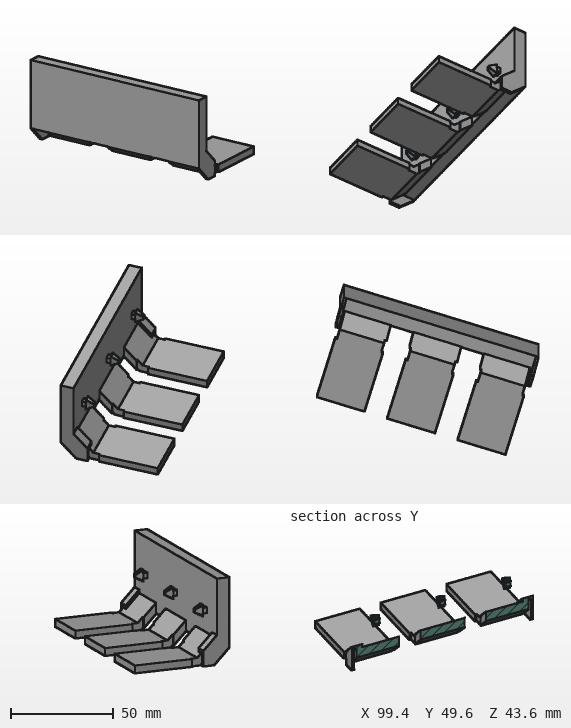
import cadquery as cq
import math

length = 99.4
height = 43.6
depth = 49.65
wall_thickness = 6.65
wall_bottom = 8.1

tongue_pitch = 35.95
tongue_width = 24.4
tongue_thickness = 4.0
bend_inner_y = 16.05
notch_depth = 0.9
notch_start_y = 13.2
notch_end_y = 19.2

bracket_width = 5.7
bracket_depth = 13.85
bracket_back_height = 7.9
side_plate_thickness = 1.35

peg_z = 24.65
neck_width = 3.1
neck_height = 2.8
neck_length = 2.0
head_width = 3.2
head_height = 5.8
head_length = 3.95
tip_width = 1.7
tip_height = 1.6

tongue_top_sum = bend_inner_y + tongue_thickness
tongue_under_sum = tongue_top_sum - tongue_thickness * math.sqrt(2)
bracket_top_sum = bracket_depth + bracket_back_height

tongue_centers = [-tongue_pitch, 0, tongue_pitch]
narrow_half_width = tongue_width / 2 - notch_depth


def extrude_profile(points, x_start, x_end):
    """Extrude a (y, z) outline along X from x_start to x_end."""
    profile = cq.Workplane("YZ").workplane(offset=x_start).polyline(points).close()
    return profile.extrude(x_end - x_start)


def box_between(x_start, x_end, y_start, y_end, z_start, z_end):
    size = (x_end - x_start, y_end - y_start, z_end - z_start)
    return cq.Workplane("XY").box(*size, centered=False).translate((x_start, y_start, z_start))


def make_wall():
    return box_between(-length / 2, length / 2, 0, wall_thickness, wall_bottom, height)


def make_tongue(center_x):
    """Bent plate rooted in the wall, with a shallow notch in both edges."""
    root_y = tongue_under_sum - wall_bottom
    outline = [
        (root_y, wall_bottom),
        (tongue_under_sum, 0),
        (depth, 0),
        (depth, tongue_thickness),
        (bend_inner_y, tongue_thickness),
        (wall_thickness, tongue_top_sum - wall_thickness),
        (root_y, tongue_top_sum - wall_thickness),
    ]
    tongue = extrude_profile(outline, center_x - tongue_width / 2, center_x + tongue_width / 2)
    for edge_x in (-tongue_width / 2, narrow_half_width):
        notch_x = center_x + edge_x
        notch = box_between(notch_x, notch_x + notch_depth, notch_start_y, notch_end_y, 0, height)
        tongue = tongue.cut(notch)
    return tongue


def make_end_clearance():
    """Space beyond the narrow outer edge of the first tongue, from the wall to the notch end."""
    narrow_edge = -tongue_pitch - narrow_half_width
    behind_wall = box_between(-length / 2, narrow_edge, wall_thickness, notch_end_y, 0, height)
    under_wall = box_between(-length / 2, narrow_edge, 0, wall_thickness, 0, wall_bottom)
    return behind_wall.union(under_wall)


def make_end_bracket():
    """Bracket at the -X end of the wall."""
    side_outline = [
        (0, wall_bottom),
        (wall_bottom, 0),
        (bracket_depth, 0),
        (bracket_depth, bracket_back_height),
        (wall_thickness, bracket_top_sum - wall_thickness),
        (0, bracket_top_sum - wall_thickness),
    ]
    lip_outline = [
        (wall_thickness, tongue_top_sum - wall_thickness),
        (bracket_depth, tongue_top_sum - bracket_depth),
        (bracket_depth, bracket_back_height),
        (wall_thickness, bracket_top_sum - wall_thickness),
    ]
    end_x = -length / 2
    side_plate = extrude_profile(side_outline, end_x, end_x + side_plate_thickness)
    lip = extrude_profile(lip_outline, end_x, end_x + bracket_width)
    return side_plate.union(lip)


def make_peg(center_x):
    """Rectangular neck carrying a barbed head that tapers to a blunt tip."""
    neck_end_y = wall_thickness + neck_length
    neck = box_between(
        center_x - neck_width / 2,
        center_x + neck_width / 2,
        wall_thickness,
        neck_end_y,
        peg_z - neck_height / 2,
        peg_z + neck_height / 2,
    )
    head_plane = cq.Plane(origin=(center_x, neck_end_y, peg_z), xDir=(1, 0, 0), normal=(0, 1, 0))
    head = (
        cq.Workplane(head_plane)
        .rect(head_width, head_height)
        .workplane(offset=head_length)
        .rect(tip_width, tip_height)
        .loft()
    )
    return neck.union(head)


tongues = cq.Workplane("XY")
for tongue_x in tongue_centers:
    tongues = tongues.add(make_tongue(tongue_x))
tongues = tongues.combine()

left_clearance = make_end_clearance()
tongues = tongues.cut(left_clearance).cut(left_clearance.mirror("YZ"))

left_bracket = make_end_bracket()
result = make_wall().union(tongues).union(left_bracket).union(left_bracket.mirror("YZ"))
for peg_x in tongue_centers:
    result = result.union(make_peg(peg_x))